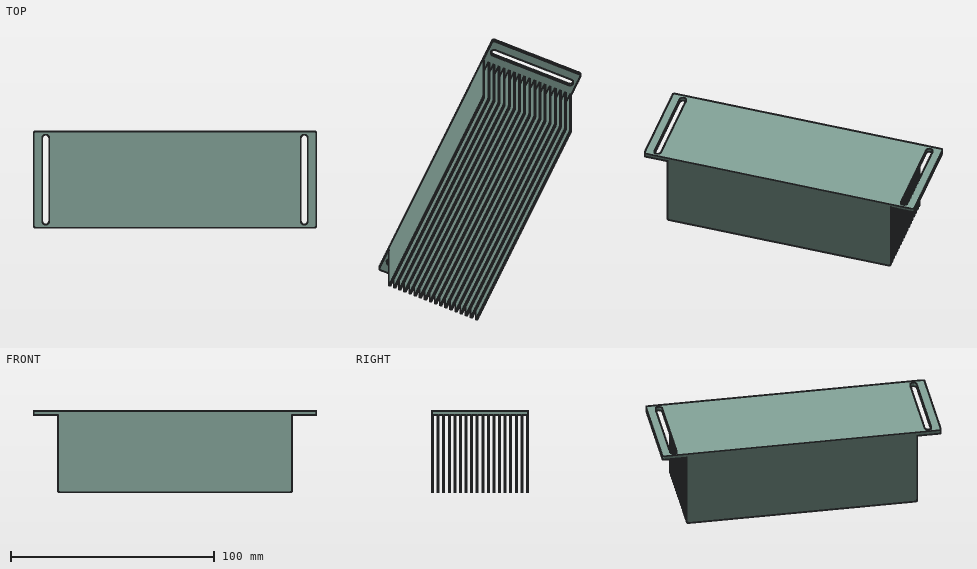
import cadquery as cq

plate_length = 139.0
plate_width = 47.4
plate_thickness = 2.1
plate_corner_radius = 1.0

total_height = 40.0
fin_count = 18
fin_thickness = 0.75
fin_end_setback = 12.0
fin_corner_radius = 1.0
fin_length = plate_length - 2 * fin_end_setback
fin_height = total_height - plate_thickness
fin_pitch = (plate_width - fin_thickness) / (fin_count - 1)

slot_length = 44.0
slot_width = 3.3
slot_end_setback = 6.0
slot_spacing = plate_length - 2 * slot_end_setback


def make_plate():
    """Plate with its underside on Z = 0, rounded corners and two end slots."""
    plate = (
        cq.Workplane("XY")
        .rect(plate_length, plate_width)
        .extrude(plate_thickness)
        .edges("|Z")
        .fillet(plate_corner_radius)
    )
    slots = (
        cq.Workplane("XY")
        .rarray(slot_spacing, 1.4, 2, 1)
        .slot2D(slot_length, slot_width, 90)
        .extrude(plate_thickness)
    )
    return plate.cut(slots)


def make_fin(center_y):
    """Thin fin below the plate with rounded lower corners."""
    return (
        cq.Workplane("XY")
        .box(fin_length, fin_thickness, fin_height, centered=(True, True, False))
        .edges("|Y and <Z")
        .fillet(fin_corner_radius)
        .translate((0, center_y, -fin_height))
    )


result = make_plate()
first_fin_y = -(plate_width - fin_thickness) / 2
for index in range(fin_count):
    result = result.union(make_fin(first_fin_y + index * fin_pitch))